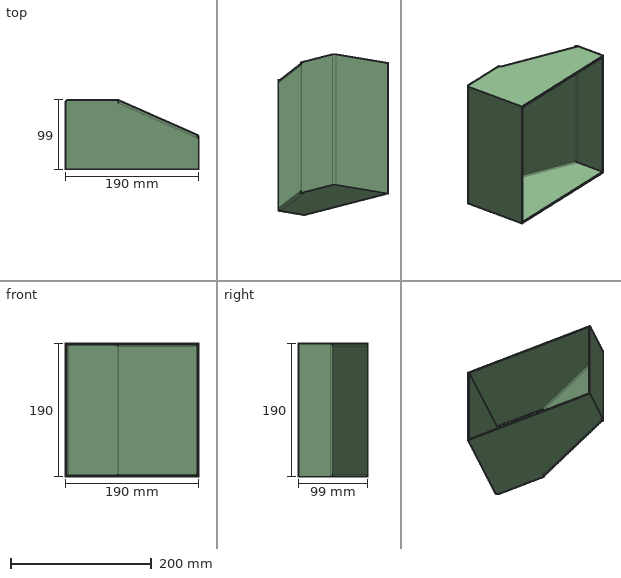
import cadquery as cq
import math

width = 190.0
depth = 99.0
height = 190.0
right_depth = 48.3
back_width = 75.0
wall = 2.0
inner_radius = 1.8
outer_radius = inner_radius + wall

slope_drop = depth - right_depth
slope_run = width - back_width
slope_angle = math.atan2(slope_drop, slope_run)


def prism(inset, mouth_y):
    """Sharp-cornered five-sided prism, its walls moved inwards by inset, starting at mouth_y."""
    left = inset
    right = width - inset
    back = depth - inset
    bend_x = back_width - inset * math.tan(slope_angle / 2)
    right_back = right_depth - inset * (1 - math.sin(slope_angle)) / math.cos(slope_angle)
    outline = [(left, mouth_y), (right, mouth_y), (right, right_back), (bend_x, back), (left, back)]
    base = cq.Workplane("XY").workplane(offset=inset)
    return base.polyline(outline).close().extrude(height - 2 * inset)


def round_rear_corners(body, radius):
    """Round the three upright edges away from the mouth."""
    return body.edges("|Z").edges("not <Y").fillet(radius)


def round_slope_rims(body, radius):
    """Round the top and bottom edges of the sloping face."""
    slope_direction = cq.Vector(slope_run, -slope_drop, 0)
    return body.edges(cq.selectors.ParallelDirSelector(slope_direction)).fillet(radius)


def outer_body():
    """Rounded upright corners; the slope's rims are rounded from the bend to the right wall."""
    upright = round_rear_corners(prism(0, 0), outer_radius)
    rimmed = round_slope_rims(prism(0, 0), outer_radius)
    slope_span = cq.Workplane("XY").box(slope_run - wall, depth, height, centered=False)
    slope_span = slope_span.translate((back_width, 0, 0))
    rim_waste = slope_span.intersect(prism(0, 0)).cut(rimmed)
    return upright.cut(rim_waste)


def cavity():
    """Inner space, one wall thickness inside the outline, running out through the mouth."""
    upright = round_rear_corners(prism(wall, -wall), inner_radius)
    rimmed = round_slope_rims(prism(wall, -wall), inner_radius)
    return upright.intersect(rimmed)


result = outer_body().cut(cavity())